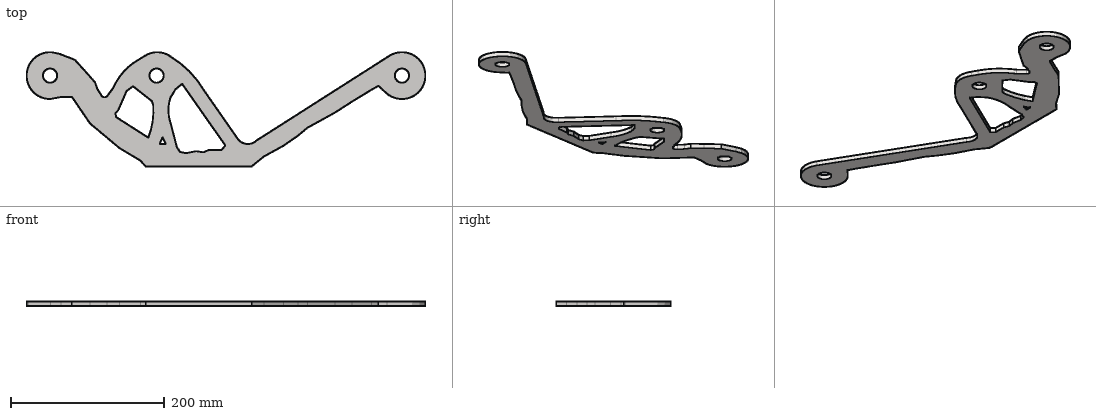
import cadquery as cq
import math

length = 520.0
height = 149.0
thickness = 6.0

boss_radius = 30.5
hole_diameter = 18.0
hole_y = height - boss_radius
left_hole_x = boss_radius
middle_hole_x = 169.5
right_hole_x = length - boss_radius

foot_left = (155.5, 0)
foot_right = (293.5, 0)


def boss_point(center_x, angle):
    """Point on the rim of a round end, angle in degrees from +X."""
    turn = math.radians(angle)
    return (center_x + boss_radius * math.cos(turn), hole_y + boss_radius * math.sin(turn))


def add_lines(path, points):
    """Extend a path with straight edges."""
    for point in points:
        path = path.lineTo(*point)
    return path


def plate_outline():
    """Outer profile, counter-clockwise from the left end of the foot."""
    right_arm_underside = [
        (309.5, 13.0), (335.0, 27.0), (353.5, 40.0), (366.0, 50.5),
        (402.0, 70.0), (424.0, 84.0), (449.5, 100.0), (458.5, 105.0),
    ]
    path = cq.Workplane("XY").moveTo(*foot_left).lineTo(*foot_right)
    path = add_lines(path, right_arm_underside)

    path = path.lineTo(*boss_point(right_hole_x, -130))
    path = path.threePointArc(boss_point(right_hole_x, 0), boss_point(right_hole_x, 122))
    path = path.lineTo(300.0, 34.5)

    path = path.threePointArc((287.0, 29.5), (274.5, 37.5))
    path = path.lineTo(231.5, 99.5)
    path = path.threePointArc((209.5, 127.0), (187.5, 143.5))
    path = path.threePointArc(boss_point(middle_hole_x, 90), (154.5, 144.5))

    path = path.lineTo(146.5, 140.0)
    path = path.threePointArc((128.0, 125.5), (113.0, 102.5))
    path = add_lines(path, [(105.0, 92.0)])
    path = path.threePointArc((102.0, 90.5), (97.0, 93.5))

    path = add_lines(path, [(92.5, 101.0), (89.5, 109.5), (78.5, 122.0), (63.0, 139.5), (42.5, 147.0)])
    path = path.lineTo(*boss_point(left_hole_x, 85))
    path = path.threePointArc(boss_point(left_hole_x, 180), boss_point(left_hole_x, 270))

    path = add_lines(path, [(44.5, 90.5), (59.5, 90.5), (82.5, 56.0), (104.5, 38.0), (121.0, 24.0), (148.0, 8.0)])
    return path.close()


def left_window():
    """Opening left of the middle web, with a bowed right side."""
    path = cq.Workplane("XY").moveTo(139.0, 104.5).lineTo(163.5, 85.5).lineTo(165.0, 80.5)
    path = path.threePointArc((164.5, 59.5), (158.5, 38.0))
    path = add_lines(path, [(117.0, 64.5), (116.0, 69.5), (119.5, 73.5), (130.5, 98.5)])
    return path.close().extrude(thickness)


def right_window():
    """Opening right of the middle web, with an uneven bottom edge."""
    bottom_edge = [
        (259.0, 27.5), (254.5, 22.0), (237.5, 22.0), (230.5, 18.5), (221.0, 20.5), (208.0, 17.5), (200.0, 19.0), (196.0, 25.5),
    ]
    path = cq.Workplane("XY").moveTo(203.0, 107.5)
    path = add_lines(path, bottom_edge)
    path = path.lineTo(188.0, 55.5)
    path = path.threePointArc((185.0, 73.0), (187.5, 90.0))
    path = path.lineTo(194.5, 101.0)
    return path.close().extrude(thickness)


def small_window():
    """Tiny triangular opening at the foot of the middle web."""
    corners = [(177.5, 38.0), (181.5, 29.5), (173.5, 29.5)]
    return cq.Workplane("XY").polyline(corners).close().extrude(thickness)


def bolt_holes():
    centers = [(x, hole_y) for x in (left_hole_x, middle_hole_x, right_hole_x)]
    return cq.Workplane("XY").pushPoints(centers).circle(hole_diameter / 2).extrude(thickness)


result = plate_outline().extrude(thickness)
for opening in (left_window(), right_window(), small_window(), bolt_holes()):
    result = result.cut(opening)